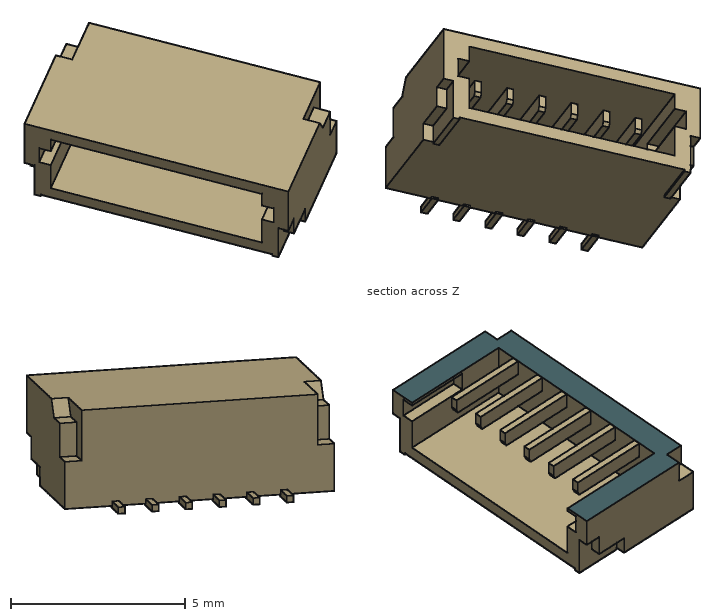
import cadquery as cq
import math


width = 8.0
total_depth = 4.95
total_height = 2.96

standoff = 0.06
tail_overhang = 0.7
body_depth = total_depth - tail_overhang
body_height = total_height - standoff
body_bottom = standoff
body_top = total_height

side_wall = 0.8
floor_wall = 0.4
back_wall = 0.8
cavity_depth = body_depth - back_wall
cavity_width = width - 2 * side_wall
cavity_height = body_height - 2 * floor_wall
keyway_wall = 0.45
keyway_depth = 2.0
keyway_width = width - 2 * keyway_wall
keyway_height = 0.6
keyway_bottom = body_bottom + 1.4

notch_width = 0.5
rear_step_depth = 0.56
rear_step_drop = 1.5
shelf_drop = 0.5
ramp_top_depth = 1.49
ramp_angle = 30.0
ramp_run = shelf_drop * math.tan(math.radians(ramp_angle))

tab_inset = 0.3
tab_thickness = notch_width - tab_inset
tab_upright_depth = 0.5
tab_foot_depth = 1.49
tab_upright_rise = 1.2
tab_foot_rise = 0.55

contact_count = 6
pitch = 1.0
contact_width = 0.2
pin_bottom = body_bottom + 1.59
pin_height = 0.5
pin_tip_depth = 1.0
pin_chamfer_height = 0.13
pin_chamfer_length = 0.06
tail_thickness = 0.2
tail_length = 0.8


def block(x_size, y_start, y_end, z_start, z_end):
    """Box centred on X = 0 between the given Y and Z limits."""
    box = cq.Workplane("XY").box(x_size, y_end - y_start, z_end - z_start, centered=(True, False, False))
    return box.translate((0, y_start, z_start))


def side_plate(points, x_start, thickness):
    """Plate with a (Y, Z) outline, extruded toward +X from x_start."""
    return cq.Workplane("YZ").workplane(offset=x_start).polyline(points).close().extrude(thickness)


def both_ends(shape):
    """The shape together with its mirror image across X = 0."""
    return shape.union(shape.mirror("YZ"))


def rear_notches():
    """Stepped cutters with a sloped front end, one for each rear upper corner."""
    points = [
        (body_depth, body_top),
        (body_depth, body_top - rear_step_drop),
        (body_depth - rear_step_depth, body_top - rear_step_drop),
        (body_depth - rear_step_depth, body_top - shelf_drop),
        (body_depth - ramp_top_depth + ramp_run, body_top - shelf_drop),
        (body_depth - ramp_top_depth, body_top),
    ]
    return both_ends(side_plate(points, -width / 2, notch_width))


def tab_shapes(x_start, thickness):
    """L-shaped plates at both ends, reaching down to the seating plane."""
    points = [
        (0, 0),
        (tab_foot_depth, 0),
        (tab_foot_depth, body_bottom + tab_foot_rise),
        (tab_upright_depth, body_bottom + tab_foot_rise),
        (tab_upright_depth, body_bottom + tab_upright_rise),
        (0, body_bottom + tab_upright_rise),
    ]
    return both_ends(side_plate(points, x_start, thickness))


def housing():
    """Block with the mating cavity, keyways, rear notches and tab recesses cut away."""
    body = block(width, 0, body_depth, body_bottom, body_top)
    cavity_bottom = body_bottom + floor_wall
    cavity = block(cavity_width, 0, cavity_depth, cavity_bottom, cavity_bottom + cavity_height)
    keyways = block(keyway_width, 0, keyway_depth, keyway_bottom, keyway_bottom + keyway_height)
    tab_recesses = tab_shapes(-width / 2, notch_width)
    return body.cut(cavity).cut(keyways).cut(rear_notches()).cut(tab_recesses)


def contact():
    """Pin inside the cavity, chamfered under its tip, and the solder tail behind it."""
    pin = block(contact_width, pin_tip_depth, cavity_depth, pin_bottom, pin_bottom + pin_height)
    chamfer_points = [
        (pin_tip_depth, pin_bottom),
        (pin_tip_depth + pin_chamfer_length, pin_bottom),
        (pin_tip_depth, pin_bottom + pin_chamfer_height),
    ]
    pin = pin.cut(side_plate(chamfer_points, -contact_width / 2, contact_width))
    tail = block(contact_width, total_depth - tail_length, total_depth, 0, tail_thickness)
    return pin, tail


result = housing().union(tab_shapes(tab_inset - width / 2, tab_thickness))
pin, tail = contact()
for index in range(contact_count):
    offset = ((index - (contact_count - 1) / 2) * pitch, 0, 0)
    result = result.union(pin.translate(offset)).union(tail.translate(offset))